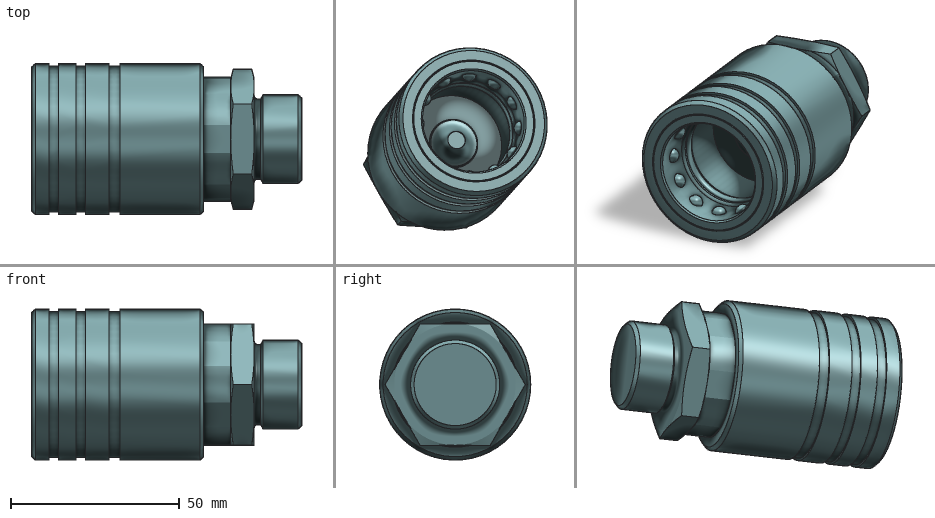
import cadquery as cq
import math

total_length = 80.0

sleeve_radius = 22.4
sleeve_length = 51.0
sleeve_chamfer = 1.0
groove_depth = 0.7
grooves = [(5.1, 8.0), (13.1, 15.9), (23.0, 26.1)]

body_radius = 18.3
body_chamfer = 0.2
sleeve_clearance = 0.2
sleeve_bore_radius = body_radius + sleeve_clearance
neck_radius = sleeve_bore_radius

hex_across_flats = 36.0
hex_corner_radius = hex_across_flats / math.sqrt(3)
hex_start = 59.0
hex_end = 65.9
hex_bevel_angle = 15.0

relief_radius = 11.9
relief_fillet = 1.0
relief_end = 67.8
stud_radius = 13.2
stud_lead_in = 0.7
stud_chamfer = 1.0

mouth_radius = 15.4
mouth_chamfer = 0.5
mouth_end = 12.9
bore_radius = 14.6
floor_depth = 32.0

seal_radius = 1.4
seal_crest_radius = 14.0
seal_groove_start = 14.5
seal_groove_width = 3.5
seal_center_radius = seal_crest_radius + seal_radius
seal_position = seal_groove_start + seal_groove_width / 2

ball_count = 12
ball_radius = 2.2
ball_crest_radius = 13.6
ball_center_radius = ball_crest_radius + ball_radius
ball_position = 7.2

plunger_radius = 7.3
plunger_height = 0.8
plunger_chamfer = 0.3
nose_radius = 2.6


def turned(profile):
    """Solid of revolution about the X axis from a half section in the XY plane."""
    return profile.close().revolve(360, (0, 0, 0), (1, 0, 0))


def ring(start, end, inner_radius, outer_radius):
    """Plain ring about the X axis, or a solid disc where the inner radius is zero."""
    section = cq.Workplane("YZ").workplane(offset=start).circle(outer_radius)
    if inner_radius > 0:
        section = section.circle(inner_radius)
    return section.extrude(end - start)


def make_sleeve():
    """Sliding sleeve, chamfered at both outer ends, with grip grooves around it."""
    blank = ring(0, sleeve_length, 0, sleeve_radius).faces("<X or >X").chamfer(sleeve_chamfer)
    sleeve = blank.cut(ring(0, sleeve_length, 0, sleeve_bore_radius))
    for start, end in grooves:
        sleeve = sleeve.cut(ring(start, end, sleeve_radius - groove_depth, sleeve_radius))
    return sleeve


def hex_prism(start, end):
    """Hexagonal bar along X with one pair of flats facing up and down."""
    return cq.Workplane("YZ").workplane(offset=start).polygon(6, 2 * hex_corner_radius).extrude(end - start)


def make_body():
    """Round body and, behind the sleeve, a slightly wider neck with six flats."""
    front = ring(0, sleeve_length, 0, body_radius).faces("<X").chamfer(body_chamfer)
    neck = ring(sleeve_length, hex_start, 0, neck_radius)
    return front.union(neck.intersect(hex_prism(sleeve_length, hex_start)))


def make_hexagon():
    """Wrench hexagon with its corners bevelled at both ends."""
    flat_radius = hex_across_flats / 2
    bevel_length = (hex_corner_radius - flat_radius) * math.tan(math.radians(hex_bevel_angle))
    envelope = turned(
        cq.Workplane("XY")
        .moveTo(hex_start, 0)
        .lineTo(hex_start, flat_radius)
        .lineTo(hex_start + bevel_length, hex_corner_radius)
        .lineTo(hex_end - bevel_length, hex_corner_radius)
        .lineTo(hex_end, flat_radius)
        .lineTo(hex_end, 0)
    )
    return hex_prism(hex_start, hex_end).intersect(envelope)


def make_stud():
    """Threaded stud, with a filleted relief where it leaves the hexagon."""
    return turned(
        cq.Workplane("XY")
        .moveTo(hex_end, 0)
        .lineTo(hex_end, relief_radius + relief_fillet)
        .radiusArc((hex_end + relief_fillet, relief_radius), -relief_fillet)
        .lineTo(relief_end, relief_radius)
        .lineTo(relief_end + stud_lead_in, stud_radius)
        .lineTo(total_length - stud_chamfer, stud_radius)
        .lineTo(total_length, stud_radius - stud_chamfer)
        .lineTo(total_length, 0)
    )


def make_socket():
    """Space inside the housing: chamfered mouth, bore and seal groove."""
    cone_end = mouth_end + mouth_radius - bore_radius
    space = turned(
        cq.Workplane("XY")
        .moveTo(0, 0)
        .lineTo(0, mouth_radius + mouth_chamfer)
        .lineTo(mouth_chamfer, mouth_radius)
        .lineTo(mouth_end, mouth_radius)
        .lineTo(cone_end, bore_radius)
        .lineTo(floor_depth, bore_radius)
        .lineTo(floor_depth, 0)
    )
    seal_groove_end = seal_groove_start + seal_groove_width
    seal_groove = ring(seal_groove_start, seal_groove_end, 0, seal_center_radius + seal_radius)
    return space.union(seal_groove)


def make_plunger():
    """Low round boss on the socket floor, flaring up to a narrow flat nose."""
    rim_radius = plunger_radius - plunger_chamfer
    flare_radius = rim_radius - nose_radius
    rim_position = floor_depth - plunger_height
    return turned(
        cq.Workplane("XY")
        .moveTo(floor_depth, 0)
        .lineTo(floor_depth, plunger_radius)
        .lineTo(rim_position + plunger_chamfer, plunger_radius)
        .lineTo(rim_position, rim_radius)
        .radiusArc((rim_position - flare_radius, nose_radius), flare_radius)
        .lineTo(rim_position - flare_radius, 0)
    )


def make_housing():
    """One-piece coupling housing with its plunger and the balls fused to the bore wall."""
    housing = make_body().union(make_hexagon()).union(make_stud()).cut(make_socket()).union(make_plunger())
    for index in range(ball_count):
        angle = 2 * math.pi * index / ball_count
        center = (ball_position, ball_center_radius * math.cos(angle), ball_center_radius * math.sin(angle))
        housing = housing.union(cq.Workplane("XY").sphere(ball_radius).translate(center))
    return housing


def make_seal_ring():
    """Round-section ring that sits on the floor of the seal groove, midway between its walls."""
    section = cq.Workplane("XY").center(seal_position, seal_center_radius).circle(seal_radius)
    return section.revolve(360, (0, -seal_center_radius, 0), (1, -seal_center_radius, 0))


sleeve = make_sleeve()
housing = make_housing()
seal_ring = make_seal_ring()

result = cq.Compound.makeCompound([sleeve.solids().val(), housing.solids().val(), seal_ring.val()])